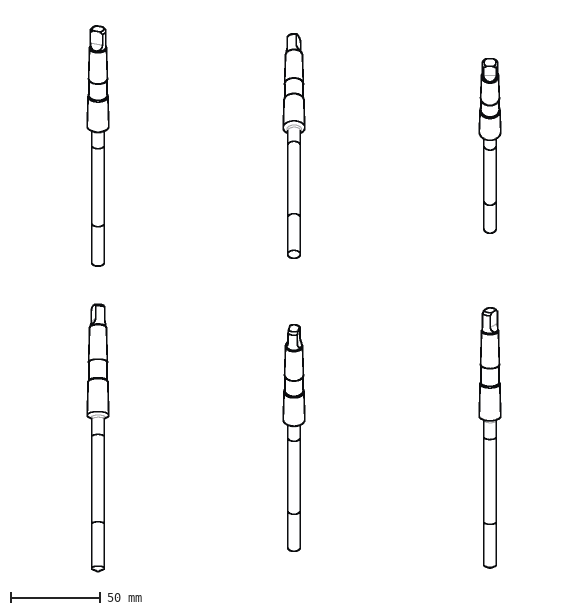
import cadquery as cq
import math

total_length = 158.8
taper_large_dia = 12.2
taper_ratio = 1 / 20.0
taper_start = 93.3
taper_end = 145.5
relief_dia = 10.2
relief_start = 113.2
relief_end = 125.0
relief_chamfer = 0.8

neck_dia = 7.1
neck_cone_height = 1.6
neck_fillet = 1.3

tang_dia = 8.9
tang_thickness = 5.4
tang_angle = 35.0
tang_flat_start = 150.0
tang_runout_radius = 4.6
tang_end_bevel_width = 1.1
tang_end_bevel_height = 1.5
tang_end_rise = 0.3
tang_shoulder_height = 0.6

drill_dia = neck_dia
drill_length = 80.6
cutting_length = 28.5
body_clearance = 0.08
point_angle = 118.0


def taper_radius(height):
    """Radius of the Morse taper at a height."""
    return (taper_large_dia - (height - taper_start) * taper_ratio) / 2


def revolve_profile(points):
    """Turn a closed (radius, height) profile about the Z axis."""
    return cq.Workplane("XZ").polyline(points).close().revolve(360, (0, 0, 0), (0, 1, 0))


def make_tang_cutter():
    """Two blocks with rounded lower inside edges that leave the tang flats."""
    half_thickness = tang_thickness / 2
    outer = half_thickness + tang_runout_radius
    cutter = (
        cq.Workplane("XZ")
        .moveTo(half_thickness, total_length)
        .lineTo(half_thickness, tang_flat_start)
        .radiusArc((outer, tang_flat_start - tang_runout_radius), -tang_runout_radius)
        .lineTo(outer, total_length)
        .close()
        .extrude(taper_large_dia / 2, both=True)
    )
    cutter = cutter.union(cutter.mirror("YZ"))
    return cutter.rotate((0, 0, 0), (0, 0, 1), tang_angle + 90)


def make_shank():
    """Turned taper shank with neck, relief and driving tang."""
    neck_radius = neck_dia / 2
    relief_radius = relief_dia / 2
    tang_radius = tang_dia / 2
    rim_height = total_length - tang_end_rise
    neck_top = taper_start - neck_cone_height
    turned = revolve_profile([
        (0, drill_length),
        (neck_radius, drill_length),
        (neck_radius, neck_top),
        (taper_radius(taper_start), taper_start),
        (taper_radius(relief_start), relief_start),
        (relief_radius, relief_start + relief_chamfer),
        (relief_radius, relief_end),
        (taper_radius(relief_end), relief_end),
        (taper_radius(taper_end), taper_end),
        (tang_radius, taper_end + tang_shoulder_height),
        (tang_radius, rim_height - tang_end_bevel_height),
        (tang_radius - tang_end_bevel_width, rim_height),
        (0, total_length),
    ])
    neck_corner = cq.selectors.BoxSelector(
        (-neck_dia, -neck_dia, neck_top - neck_fillet / 4),
        (neck_dia, neck_dia, neck_top + neck_fillet / 4),
        boundingbox=True,
    )
    turned = turned.edges(neck_corner).fillet(neck_fillet)
    return turned.cut(make_tang_cutter())


def make_drill():
    """Drill with a conical point and a slightly slimmer body behind it."""
    drill_radius = drill_dia / 2
    body_radius = drill_radius - body_clearance / 2
    point_height = drill_radius / math.tan(math.radians(point_angle / 2))
    return revolve_profile([
        (0, 0),
        (drill_radius, point_height),
        (drill_radius, cutting_length),
        (body_radius, cutting_length),
        (body_radius, drill_length),
        (0, drill_length),
    ])


shank = make_shank()
drill = make_drill()
result = cq.Compound.makeCompound([shank.val(), drill.val()])